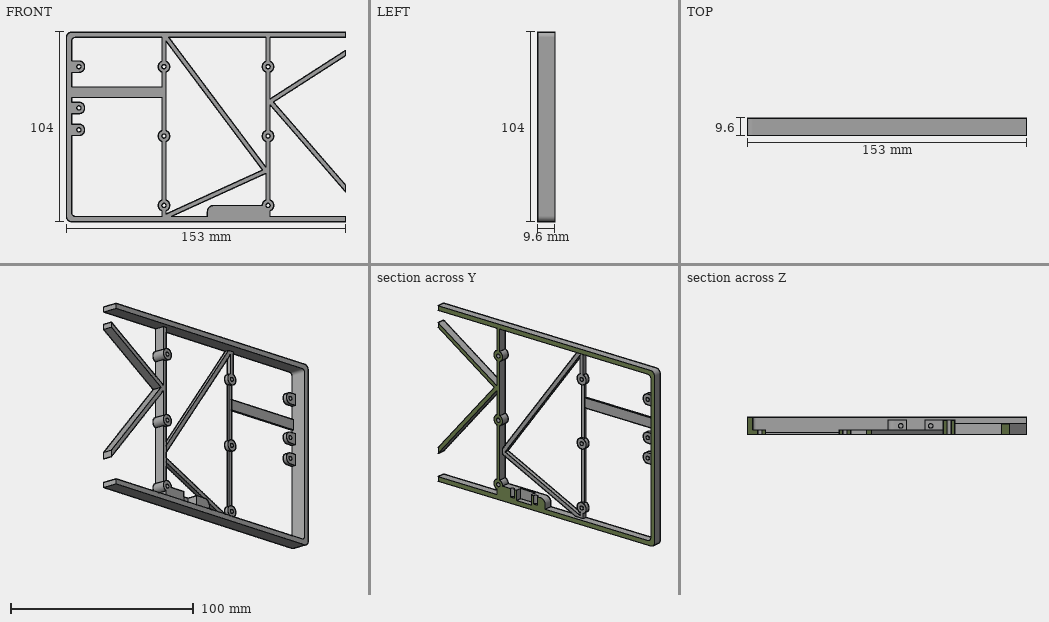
import cadquery as cq
import math

LENGTH = 153.0
DEPTH = 9.6
HEIGHT = 104.0
WALL = 3.0
OUTER_RADIUS = 3.0
INNER_RADIUS = 2.0

LIGHT_DEPTH = 2.6
HEAVY_DEPTH = 6.0
THIN_POST_DEPTH = 1.4
CROSSBAR_DEPTH = 1.2

POST_WIDTH = 2.3
POST_SPACING = 57.0
FIRST_POST_X = 53.5
SECOND_POST_X = FIRST_POST_X + POST_SPACING

BOSS_RADIUS = 3.2
BOSS_HOLE_RADIUS = 1.1
BOSS_PITCH = 38.0
LOWEST_BOSS_Z = 9.0
MIDDLE_BOSS_Z = LOWEST_BOSS_Z + BOSS_PITCH
HIGHEST_BOSS_Z = MIDDLE_BOSS_Z + BOSS_PITCH
BOSS_HEIGHTS = [LOWEST_BOSS_Z, MIDDLE_BOSS_Z, HIGHEST_BOSS_Z]
FIRST_BOSS_DEPTH = LIGHT_DEPTH
SECOND_BOSS_DEPTH = 8.0
LUG_X = 6.9
LUG_HEIGHTS = [50.4, 62.4, HIGHEST_BOSS_Z]

CROSSBAR_Z = 71.0
CROSSBAR_HEIGHT = 6.0

BRACE_WIDTH = 2.5
INNER_ROOT_X = 54.3
INNER_UPPER_ROOT_Z = 101.5
INNER_LOWER_ROOT_Z = 2.8
INNER_NODE_Z = 27.9
OUTER_NODE_Z = 65.9
OUTER_UPPER_END_Z = 92.5
OUTER_LOWER_END_Z = 18.3

BLOCK_LEFT = 77.2
BLOCK_RIGHT = SECOND_POST_X + POST_WIDTH / 2
BLOCK_TOP = LOWEST_BOSS_Z
BLOCK_DEPTH = 8.0
BLOCK_CORNER_RADIUS = 3.5
BLOCK_FRONT_SKIN = 1.5
POCKET_LEFT = 87.2
POCKET_RIGHT = 97.4
PAD_HOLE_OFFSET = 3.1
PAD_HOLE_Y = 4.8
PAD_HOLE_RADIUS = 1.25
PAD_HOLE_DEPTH = 5.0


def box(x_min, x_max, z_min, z_max, depth, y_min=0.0):
    """Box given by its X and Z limits, reaching back from y_min by depth."""
    size = (x_max - x_min, depth, z_max - z_min)
    return cq.Workplane("XY").box(*size, centered=False).translate((x_min, y_min, z_min))


def rod(x, z, radius, depth):
    """Cylinder along Y starting at the front face."""
    return cq.Workplane("XZ").center(x, z).circle(radius).extrude(-depth)


def make_frame():
    """C-shaped frame: rounded left corners inside and out, open at the right."""
    outer = box(0, LENGTH, 0, HEIGHT, DEPTH).edges("|Y and <X").fillet(OUTER_RADIUS)
    opening = box(WALL, LENGTH, WALL, HEIGHT - WALL, DEPTH)
    return outer.cut(opening.edges("|Y and <X").fillet(INNER_RADIUS))


def make_post(x, z_min, z_max, depth):
    return box(x - POST_WIDTH / 2, x + POST_WIDTH / 2, z_min, z_max, depth)


def make_posts():
    """First post, thinner between its end bosses, and the deep second post."""
    rail_top = HEIGHT - WALL
    first = make_post(FIRST_POST_X, WALL, LOWEST_BOSS_Z, LIGHT_DEPTH)
    first = first.union(make_post(FIRST_POST_X, LOWEST_BOSS_Z, HIGHEST_BOSS_Z, THIN_POST_DEPTH))
    first = first.union(make_post(FIRST_POST_X, HIGHEST_BOSS_Z, rail_top, LIGHT_DEPTH))
    return first.union(make_post(SECOND_POST_X, WALL, rail_top, HEAVY_DEPTH))


def make_crossbar():
    bottom = CROSSBAR_Z - CROSSBAR_HEIGHT / 2
    return box(WALL, FIRST_POST_X, bottom, bottom + CROSSBAR_HEIGHT, CROSSBAR_DEPTH)


def make_brace(start, end, depth, overrun=0.0):
    """Straight bar from start towards end in the XZ plane, going overrun past end."""
    run = end[0] - start[0]
    rise = end[1] - start[1]
    length = math.hypot(run, rise) + overrun
    angle = math.degrees(math.atan2(rise, run))
    return (
        cq.Workplane("XZ")
        .center(*start)
        .transformed(rotate=(0, 0, angle))
        .center(length / 2, 0)
        .rect(length, BRACE_WIDTH)
        .extrude(-depth)
    )


def make_inner_braces():
    """Two light braces from the foot and head of the first post to the second post."""
    node = (SECOND_POST_X - POST_WIDTH / 2, INNER_NODE_Z)
    upper = make_brace((INNER_ROOT_X, INNER_UPPER_ROOT_Z), node, LIGHT_DEPTH)
    lower = make_brace((INNER_ROOT_X, INNER_LOWER_ROOT_Z), node, LIGHT_DEPTH)
    return upper.union(lower)


def make_outer_braces():
    """Two heavy braces spreading from the second post, cut flush with the open end."""
    node = (SECOND_POST_X + POST_WIDTH / 2, OUTER_NODE_Z)
    overrun = 2 * BRACE_WIDTH
    upper = make_brace(node, (LENGTH, OUTER_UPPER_END_Z), HEAVY_DEPTH, overrun)
    lower = make_brace(node, (LENGTH, OUTER_LOWER_END_Z), HEAVY_DEPTH, overrun)
    return upper.union(lower).intersect(box(0, LENGTH, 0, HEIGHT, DEPTH))


def make_block():
    """Block with a rounded upper left corner and a pocket open to the top and back."""
    block = box(BLOCK_LEFT, BLOCK_RIGHT, 0, BLOCK_TOP, BLOCK_DEPTH)
    block = block.edges("|Y and <X and >Z").fillet(BLOCK_CORNER_RADIUS)
    pocket = box(POCKET_LEFT, POCKET_RIGHT, WALL, BLOCK_TOP, BLOCK_DEPTH, BLOCK_FRONT_SKIN)
    return block.cut(pocket)


def make_lug(z):
    """Round-ended lug reaching in from the left wall."""
    root = box(WALL, LUG_X, z - BOSS_RADIUS, z + BOSS_RADIUS, LIGHT_DEPTH)
    return root.union(rod(LUG_X, z, BOSS_RADIUS, LIGHT_DEPTH))


def make_pad_holes():
    """Vertical screw holes in the pads on either side of the pocket."""
    left = (POCKET_LEFT - PAD_HOLE_OFFSET, PAD_HOLE_Y)
    right = (POCKET_RIGHT + PAD_HOLE_OFFSET, PAD_HOLE_Y)
    top = cq.Workplane("XY", origin=(0, 0, BLOCK_TOP))
    return top.pushPoints([left, right]).circle(PAD_HOLE_RADIUS).extrude(-PAD_HOLE_DEPTH)


result = make_frame()
result = result.union(make_posts())
result = result.union(make_crossbar())
result = result.union(make_inner_braces())
result = result.union(make_outer_braces())
result = result.union(make_block())

for lug_z in LUG_HEIGHTS:
    result = result.union(make_lug(lug_z))
for boss_z in BOSS_HEIGHTS:
    result = result.union(rod(FIRST_POST_X, boss_z, BOSS_RADIUS, FIRST_BOSS_DEPTH))
    result = result.union(rod(SECOND_POST_X, boss_z, BOSS_RADIUS, SECOND_BOSS_DEPTH))

for lug_z in LUG_HEIGHTS:
    result = result.cut(rod(LUG_X, lug_z, BOSS_HOLE_RADIUS, LIGHT_DEPTH))
for boss_z in BOSS_HEIGHTS:
    result = result.cut(rod(FIRST_POST_X, boss_z, BOSS_HOLE_RADIUS, FIRST_BOSS_DEPTH))
    result = result.cut(rod(SECOND_POST_X, boss_z, BOSS_HOLE_RADIUS, SECOND_BOSS_DEPTH))

result = result.cut(make_pad_holes())